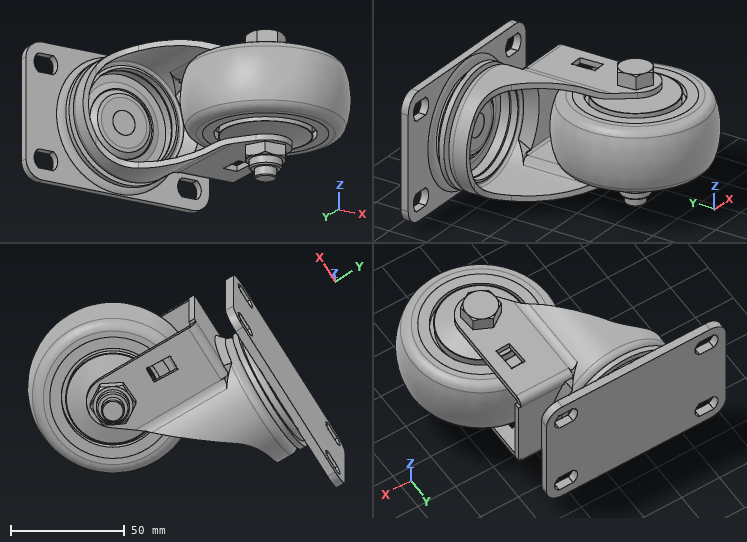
import cadquery as cq
import math


PLATE_LENGTH = 95.0
PLATE_WIDTH = 64.6
PLATE_THICKNESS = 4.0
PLATE_CORNER_RADIUS = 8.5
SLOT_SPACING_X = 74.3
SLOT_SPACING_Z = 44.9
SLOT_LENGTH = 12.1
SLOT_WIDTH = 8.8
SLOT_END_BULGE = 2.3
BEAD_RADIUS = 31.7
BEAD_HEIGHT = 1.0
BOSS_LEVEL = 6.4
BOSS_STEPS = [(19.6, 6.4), (16.4, 7.2), (16.0, 6.6), (13.6, 9.0), (11.8, 9.3)]
PIN_RADIUS = 5.8
PIN_RECESS = 0.1

RACE_BORE_RADIUS = 23.4
RACE_NECK_RADIUS = 24.9
RACE_NECK_LEVEL = 5.1
RACE_BULGE_RADIUS = 26.3
RACE_BULGE_LEVEL = 6.4
RACE_FOOT_RADIUS = 26.8
FLANGE_RADIUS = 29.6
FLANGE_TOP = 8.5
FLANGE_BOTTOM = 11.1

OVERALL_X = 122.4
OVERALL_Y = 106.4
OVERALL_Z = 69.4
WHEEL_RADIUS = 37.8
AXLE_X = OVERALL_X - PLATE_LENGTH / 2 - WHEEL_RADIUS
AXLE_Y = -(OVERALL_Y - WHEEL_RADIUS)
WHEEL_HALF_WIDTH = 16.0
TREAD_EDGE_RADIUS = 34.2
TREAD_FILLET = 5.1
HUB_RADIUS = 27.9
HUB_RECESS_RADIUS = 22.8
HUB_RECESS_DEPTH = 3.7
CAP_RADIUS = 20.9
CAP_NECK_RADIUS = 20.6
CAP_RIM_LEVEL = 17.3
CAP_END_RADIUS = 10.8

SHEET = 2.8
CROWN_RADIUS = 29.5
CROWN_TOP = 11.9
LEG_HALF_SPAN = 23.0
WEB_TOP = 18.5
WEB_END_X = 50.2
BEND_RADIUS = 3.9
FLARE_RADIUS = 7.8
RAMP_RADIUS = 26.2
HIP_HALF_WIDTH = 14.1
CROWN_SKIRT_LEVEL = 22.9
SKIRT_ARC_RADIUS = 21.2
LEG_SLOPE = 52.8
NOSE_RADIUS = 11.8
LEG_TOP_X = 48.8
FORK_DEPTH = 85.7
BORE_LIP_RADIUS = 24.9
BORE_LIP_HEIGHT = 0.7
WINDOW_X = 38.8
WINDOW_Y = -42.1
WINDOW_WIDTH = 7.1
WINDOW_HEIGHT = 12.0
WINDOW_TURN = 2.0

SHANK_RADIUS = 5.0
SHANK_END_Z = -(OVERALL_Z - PLATE_WIDTH / 2)
SHANK_CHAMFER = 0.5
HEAD_FLATS = 15.8
HEAD_HEIGHT = 7.1
HEAD_TURN = 94.3
NUT_FLATS = 17.6
NUT_HEIGHT = 5.5
NUT_TURN = -2.5
COLLAR_RADIUS = 7.3
COLLAR_HEIGHT = 4.2
COLLAR_CHAMFER = 0.7
HEX_CHAMFER_SLOPE = 30.0


def level(depth):
    """Workplane across the swivel axis at a depth below the mounting face, extruding towards -Y."""
    return cq.Workplane("XZ", origin=(0, -depth, 0))


def disc(radius, top, bottom):
    return level(top).circle(radius).extrude(bottom - top)


def axle_disc(radius, z_low, z_high):
    return cq.Workplane("XY", origin=(AXLE_X, AXLE_Y, z_low)).circle(radius).extrude(z_high - z_low)


def swivel_revolve(points):
    """Revolve (radius, depth) points about the swivel axis."""
    return cq.Workplane("XY").polyline([(r, -depth) for r, depth in points]).close().revolve(
        360, (0, 0), (0, 1)
    )


def make_plate():
    plate = level(0).rect(PLATE_LENGTH, PLATE_WIDTH).extrude(PLATE_THICKNESS)
    plate = plate.edges("|Y").fillet(PLATE_CORNER_RADIUS)
    bead = (
        cq.Workplane("XY")
        .moveTo(RACE_NECK_RADIUS, -PLATE_THICKNESS)
        .threePointArc(
            ((RACE_NECK_RADIUS + BEAD_RADIUS) / 2, -PLATE_THICKNESS - BEAD_HEIGHT),
            (BEAD_RADIUS, -PLATE_THICKNESS),
        )
        .close()
        .revolve(360, (0, 0), (0, 1))
    )
    boss_face = BOSS_STEPS[-1][1]
    boss_outline = [(0, 0), (RACE_BORE_RADIUS, 0), (RACE_BORE_RADIUS, BOSS_LEVEL), *BOSS_STEPS]
    boss = swivel_revolve([*boss_outline, (0, boss_face)])
    plate = plate.union(bead).union(boss)
    flat_end = SLOT_LENGTH / 2 - SLOT_END_BULGE
    slot = (
        level(0)
        .moveTo(-flat_end, -SLOT_WIDTH / 2)
        .lineTo(flat_end, -SLOT_WIDTH / 2)
        .threePointArc((SLOT_LENGTH / 2, 0), (flat_end, SLOT_WIDTH / 2))
        .lineTo(-flat_end, SLOT_WIDTH / 2)
        .threePointArc((-SLOT_LENGTH / 2, 0), (-flat_end, -SLOT_WIDTH / 2))
        .close()
        .extrude(PLATE_THICKNESS)
    )
    for side_x in (-1, 1):
        for side_z in (-1, 1):
            plate = plate.cut(slot.translate((side_x * SLOT_SPACING_X / 2, 0, side_z * SLOT_SPACING_Z / 2)))
    return plate.cut(disc(PIN_RADIUS, boss_face - PIN_RECESS, boss_face))


def make_race():
    return (
        cq.Workplane("XY")
        .moveTo(RACE_BORE_RADIUS, -PLATE_THICKNESS)
        .lineTo(RACE_NECK_RADIUS, -PLATE_THICKNESS)
        .lineTo(RACE_NECK_RADIUS, -RACE_NECK_LEVEL)
        .threePointArc((RACE_BULGE_RADIUS, -RACE_BULGE_LEVEL), (RACE_FOOT_RADIUS, -FLANGE_TOP))
        .lineTo(FLANGE_RADIUS, -FLANGE_TOP)
        .lineTo(FLANGE_RADIUS, -FLANGE_BOTTOM)
        .lineTo(RACE_BORE_RADIUS, -FLANGE_BOTTOM)
        .close()
        .revolve(360, (0, 0), (0, 1))
    )


def fork_envelope(inset, end_x):
    """Solid form of the fork, moved inwards by the inset: crown, channel and the ramp between them."""
    crown_radius = CROWN_RADIUS - inset
    half_span = LEG_HALF_SPAN - inset
    flare = FLARE_RADIUS + inset
    bend = BEND_RADIUS - inset
    crown_top = CROWN_TOP + inset
    web_top = WEB_TOP + inset

    crown = disc(crown_radius, crown_top, FORK_DEPTH).faces(">Y").edges().fillet(bend)

    channel = level(web_top).center(end_x / 2, 0).rect(end_x, 2 * half_span).extrude(FORK_DEPTH - web_top)
    channel = channel.faces(">Y").edges("|X").fillet(bend)

    flare_x = math.sqrt((crown_radius + flare) ** 2 - (half_span + flare) ** 2)
    flare_z = half_span + flare
    crown_share = crown_radius / (crown_radius + flare)
    half_angle = math.atan2(flare_x, flare_z) / 2
    middle_x = flare_x - flare * math.sin(half_angle)
    middle_z = flare_z - flare * math.cos(half_angle)
    flares = (
        level(crown_top)
        .moveTo(flare_x * crown_share, -flare_z * crown_share)
        .threePointArc((middle_x, -middle_z), (flare_x, -half_span))
        .lineTo(flare_x, half_span)
        .threePointArc((middle_x, middle_z), (flare_x * crown_share, flare_z * crown_share))
        .close()
        .extrude(FORK_DEPTH - crown_top)
    )

    drop = WEB_TOP - CROWN_TOP
    ramp_radius = RAMP_RADIUS + inset - inset * math.sqrt(2)
    ramp = swivel_revolve(
        [(0, crown_top), (ramp_radius, crown_top), (ramp_radius + drop, web_top), (0, web_top)]
    )

    hip = HIP_HALF_WIDTH + inset - inset * math.sqrt(2)
    eaves = crown_top + crown_radius - hip
    hips = (
        cq.Workplane("YZ")
        .polyline(
            [
                (-crown_top, -hip),
                (-crown_top, hip),
                (-eaves, crown_radius),
                (-FORK_DEPTH, crown_radius),
                (-FORK_DEPTH, -crown_radius),
                (-eaves, -crown_radius),
            ]
        )
        .close()
        .extrude(end_x)
    )
    return crown.union(channel).union(flares.union(ramp).intersect(hips))


def fork_side_profile():
    """Outline of the fork seen along the axle, extruded across the whole width."""
    slope = math.radians(LEG_SLOPE)
    nose_x = AXLE_X - NOSE_RADIUS * math.sin(slope)
    nose_y = AXLE_Y - NOSE_RADIUS * math.cos(slope)
    arc_end_y = -CROWN_SKIRT_LEVEL - SKIRT_ARC_RADIUS * (1 - math.cos(slope))
    arc_end_x = nose_x - (arc_end_y - nose_y) / math.tan(slope)
    arc_start_x = arc_end_x - SKIRT_ARC_RADIUS * math.sin(slope)
    arc_middle = (
        arc_start_x + SKIRT_ARC_RADIUS * math.sin(slope / 2),
        -CROWN_SKIRT_LEVEL - SKIRT_ARC_RADIUS * (1 - math.cos(slope / 2)),
    )
    return (
        cq.Workplane("XY")
        .moveTo(-CROWN_RADIUS, 0)
        .lineTo(LEG_TOP_X, 0)
        .lineTo(LEG_TOP_X, -WEB_TOP)
        .lineTo(AXLE_X + NOSE_RADIUS, AXLE_Y)
        .threePointArc((AXLE_X, AXLE_Y - NOSE_RADIUS), (nose_x, nose_y))
        .lineTo(arc_end_x, arc_end_y)
        .threePointArc(arc_middle, (arc_start_x, -CROWN_SKIRT_LEVEL))
        .lineTo(-CROWN_RADIUS, -CROWN_SKIRT_LEVEL)
        .close()
        .extrude(CROWN_RADIUS, both=True)
    )


def make_fork():
    shell = fork_envelope(0, WEB_END_X).cut(fork_envelope(SHEET, WEB_END_X + SHEET))
    fork = shell.intersect(fork_side_profile())
    tongue = cq.Workplane("XY").box(
        WEB_END_X - AXLE_X, SHEET, 2 * (LEG_HALF_SPAN - BEND_RADIUS), centered=(False, False, True)
    )
    fork = fork.union(tongue.translate((AXLE_X, -WEB_TOP - SHEET, 0)))
    crown_bottom = CROWN_TOP + SHEET
    lip = swivel_revolve(
        [
            (0, crown_bottom),
            (BORE_LIP_RADIUS, crown_bottom),
            (RACE_BORE_RADIUS, crown_bottom + BORE_LIP_HEIGHT),
            (0, crown_bottom + BORE_LIP_HEIGHT),
        ]
    )
    fork = fork.union(lip).cut(disc(RACE_BORE_RADIUS, 0, crown_bottom + BORE_LIP_HEIGHT))
    window = cq.Workplane("XY").box(WINDOW_WIDTH, WINDOW_HEIGHT, 2 * CROWN_RADIUS)
    window = window.rotate((0, 0, 0), (0, 0, 1), WINDOW_TURN)
    fork = fork.cut(window.translate((WINDOW_X, WINDOW_Y, 0)))
    return fork.cut(axle_disc(SHANK_RADIUS, -LEG_HALF_SPAN, LEG_HALF_SPAN))


def make_tyre():
    tyre = (
        cq.Workplane("XZ")
        .moveTo(0, -WHEEL_HALF_WIDTH)
        .lineTo(TREAD_EDGE_RADIUS, -WHEEL_HALF_WIDTH)
        .threePointArc((WHEEL_RADIUS, 0), (TREAD_EDGE_RADIUS, WHEEL_HALF_WIDTH))
        .lineTo(0, WHEEL_HALF_WIDTH)
        .close()
        .revolve(360, (0, 0), (0, 1))
    )
    tyre = tyre.faces("<Z or >Z").edges().fillet(TREAD_FILLET).translate((AXLE_X, AXLE_Y, 0))
    return tyre.cut(axle_disc(HUB_RADIUS, -WHEEL_HALF_WIDTH, WHEEL_HALF_WIDTH))


def make_hub():
    """Wheel centre: a web with a recess in each face and a conical cap that reaches the fork leg."""
    recess_floor = WHEEL_HALF_WIDTH - HUB_RECESS_DEPTH
    cap_end = LEG_HALF_SPAN - SHEET
    half_outline = [
        (HUB_RADIUS, WHEEL_HALF_WIDTH),
        (HUB_RECESS_RADIUS, WHEEL_HALF_WIDTH),
        (HUB_RECESS_RADIUS, recess_floor),
        (CAP_NECK_RADIUS, recess_floor),
        (CAP_NECK_RADIUS, CAP_RIM_LEVEL),
        (CAP_RADIUS, CAP_RIM_LEVEL),
        (CAP_END_RADIUS, cap_end),
        (SHANK_RADIUS, cap_end),
    ]
    mirrored = [(r, -z) for r, z in reversed(half_outline)]
    hub = cq.Workplane("XZ").polyline(half_outline + mirrored).close().revolve(360, (0, 0), (0, 1))
    return hub.translate((AXLE_X, AXLE_Y, 0))


def hexagon(flats, height, turn):
    """Hexagonal prism on z = 0 with the corners of its top face chamfered round."""
    corner = flats / math.sqrt(3)
    drop = (corner - flats / 2) * math.tan(math.radians(HEX_CHAMFER_SLOPE))
    prism = cq.Workplane("XY").polygon(6, 2 * corner).extrude(height)
    rounding = cq.Workplane("XY").circle(corner).extrude(height).faces(">Z").chamfer(
        drop, corner - flats / 2
    )
    return prism.intersect(rounding).rotate((0, 0, 0), (0, 0, 1), turn)


def make_bolt():
    head = hexagon(HEAD_FLATS, HEAD_HEIGHT, HEAD_TURN).translate((AXLE_X, AXLE_Y, LEG_HALF_SPAN))
    shank = axle_disc(SHANK_RADIUS, SHANK_END_Z, LEG_HALF_SPAN).faces("<Z").chamfer(SHANK_CHAMFER)
    return head.union(shank)


def make_nut():
    body = hexagon(NUT_FLATS, NUT_HEIGHT, NUT_TURN).mirror("XY")
    body = body.translate((AXLE_X, AXLE_Y, -LEG_HALF_SPAN))
    nut_bottom = -LEG_HALF_SPAN - NUT_HEIGHT
    collar = axle_disc(COLLAR_RADIUS, nut_bottom - COLLAR_HEIGHT, nut_bottom)
    collar = collar.faces("<Z").edges().chamfer(COLLAR_CHAMFER)
    nut = body.union(collar)
    return nut.cut(axle_disc(SHANK_RADIUS, nut_bottom - COLLAR_HEIGHT, -LEG_HALF_SPAN))


plate = make_plate()
race = make_race()
fork = make_fork()
tyre = make_tyre()
hub = make_hub()
bolt = make_bolt()
nut = make_nut()

result = cq.Compound.makeCompound(
    [
        *plate.solids().vals(),
        *race.solids().vals(),
        *fork.solids().vals(),
        *tyre.solids().vals(),
        *hub.solids().vals(),
        *bolt.solids().vals(),
        *nut.solids().vals(),
    ]
)